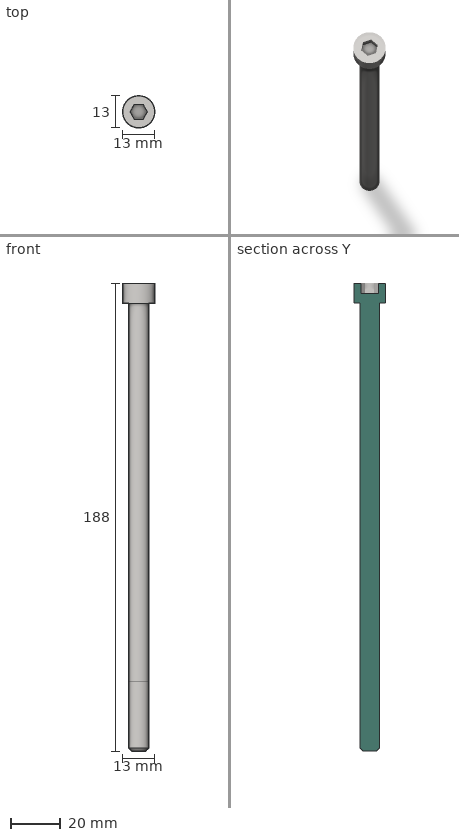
import cadquery as cq
import math

total_length = 188.0
head_diameter = 13.0
shank_diameter = 8.0
head_height = shank_diameter
thread_length = 28.0
tip_chamfer = 1.3
socket_across_flats = 6.0
socket_depth = head_height / 2

shank_length = total_length - head_height


def cylinder(diameter, bottom, height):
    return cq.Workplane("XY").workplane(offset=bottom).circle(diameter / 2).extrude(height)


def make_threaded_end():
    """Plain cylinder standing for the thread, chamfered at the tip."""
    return cylinder(shank_diameter, 0, thread_length).faces("<Z").chamfer(tip_chamfer)


def make_socket():
    """Hexagonal recess with two corners on the X axis."""
    across_corners = socket_across_flats / math.cos(math.pi / 6)
    return (
        cq.Workplane("XY")
        .workplane(offset=total_length)
        .polygon(6, across_corners)
        .extrude(-socket_depth)
    )


threaded_end = make_threaded_end()
plain_shank = cylinder(shank_diameter, thread_length, shank_length - thread_length)
head = cylinder(head_diameter, shank_length, head_height)

result = threaded_end.union(plain_shank, clean=False).union(head, clean=False)
result = result.cut(make_socket(), clean=False)